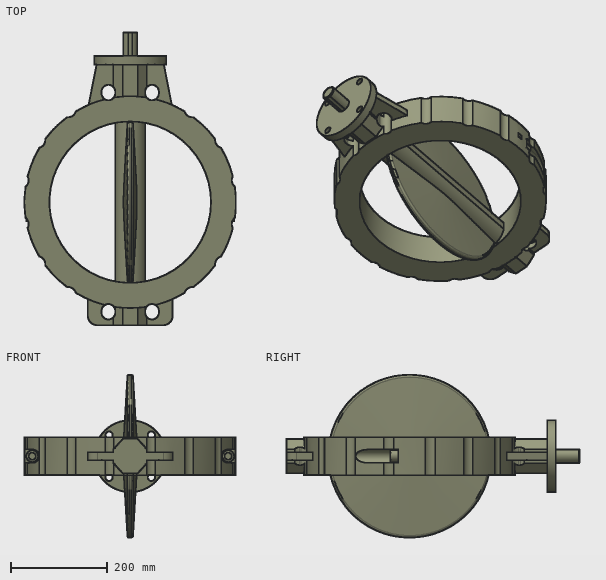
import cadquery as cq
import math


ring_radius = 220.0
bore_radius = 168.0
ring_height = 79.0

bolt_count = 16
bolt_circle_radius = 232.5
notch_radius = 16.5
lug_slot_radius = 14.0
lug_slot_length = 32.0
bolt_pitch = 360 / bolt_count

neck_half_width = 35.0
neck_half_height = 36.0
neck_half_top = 15.0
neck_half_side = 14.5
overall_length = 610
bottom_y = -256.0

flange_radius = 75.0
flange_bottom_y = 286.0
flange_top_y = 304.5
flange_hole_radius = 7.5
flange_hole_circle_radius = 62.0
flange_hole_count = 4
flange_hole_start_angle = 45
stem_top_y = bottom_y + overall_length
stem_diameter = 30.0
stem_flat_spacing = 28.5
stem_chamfer = 2.0

lug_thickness = 16.5
lug_inner_y = 183.0
top_lug_half_width = 70.0
top_lug_root_half_width = 86.5
top_lug_root_y = 202.5
bottom_lug_half_width = 88.5
bottom_lug_corner_radius = 20.0

disc_radius = 169.5
disc_center_half_thickness = 16.0
disc_rim_half_thickness = 6.0
disc_edge_half_thickness = 2.15
disc_face_radius = 165.0
hub_diameter = 65.0
hub_flat_spacing = 63.0

recess_x = 204.0
recess_radius = 14.0
recess_start_y = -24.0
plug_radius = 12.0
plug_length = 16.0
socket_radius = 7.5
socket_depth = 6.0

pad_size = 10.5
pad_outer_x = -221.0
pad_depth = 6.0


def rod(radius, start_y, end_y, x=0.0):
    """Cylinder parallel to Y."""
    return cq.Workplane("XZ", origin=(x, start_y, 0)).circle(radius).extrude(start_y - end_y)


def bolt_position(index):
    angle = math.radians((index + 0.5) * bolt_pitch)
    return bolt_circle_radius * math.cos(angle), bolt_circle_radius * math.sin(angle)


def make_ring():
    return cq.Workplane("XY").circle(ring_radius).extrude(ring_height / 2, both=True)


def make_neck(start_y, end_y):
    corners = [
        (neck_half_width, -neck_half_side),
        (neck_half_width, neck_half_side),
        (neck_half_top, neck_half_height),
        (-neck_half_top, neck_half_height),
        (-neck_half_width, neck_half_side),
        (-neck_half_width, -neck_half_side),
        (-neck_half_top, -neck_half_height),
        (neck_half_top, -neck_half_height),
    ]
    profile = cq.Workplane("XZ", origin=(0, start_y, 0)).polyline(corners).close()
    return profile.extrude(start_y - end_y)


def make_top_lug():
    slope = (top_lug_root_half_width - top_lug_half_width) / (flange_bottom_y - top_lug_root_y)
    inner_half_width = top_lug_half_width + slope * (flange_bottom_y - lug_inner_y)
    corners = [
        (-inner_half_width, lug_inner_y),
        (inner_half_width, lug_inner_y),
        (top_lug_half_width, flange_bottom_y),
        (-top_lug_half_width, flange_bottom_y),
    ]
    return cq.Workplane("XY").polyline(corners).close().extrude(lug_thickness / 2, both=True)


def make_bottom_lug():
    length = -lug_inner_y - bottom_y
    lug = cq.Workplane("XY").box(2 * bottom_lug_half_width, length, lug_thickness)
    lug = lug.edges("|Z and <Y").fillet(bottom_lug_corner_radius)
    return lug.translate((0, bottom_y + length / 2, 0))


def make_flange():
    holes = (
        cq.Workplane("XZ", origin=(0, flange_bottom_y, 0))
        .polarArray(flange_hole_circle_radius, flange_hole_start_angle, 360, flange_hole_count)
        .circle(flange_hole_radius)
        .extrude(flange_bottom_y - flange_top_y)
    )
    return rod(flange_radius, flange_bottom_y, flange_top_y).cut(holes)


def make_stem():
    """Round stem end with a narrow flat on its +Z and -Z sides."""
    stem = rod(stem_diameter / 2, flange_bottom_y, stem_top_y).faces(">Y").chamfer(stem_chamfer)
    flats = cq.Workplane("XY").box(stem_diameter, 2 * stem_top_y, stem_flat_spacing)
    return stem.intersect(flats)


def make_hub():
    """Round hub through the disc, with a narrow flat on each X side."""
    hub = rod(hub_diameter / 2, -lug_inner_y, lug_inner_y)
    flats = cq.Workplane("XY").box(hub_flat_spacing, 2 * lug_inner_y, hub_diameter)
    return hub.intersect(flats)


def make_disc():
    """Double cone with a rounded rim, revolved about the X axis."""
    rim_width = disc_rim_half_thickness - disc_edge_half_thickness
    rim_height = disc_radius - disc_face_radius
    bulge = math.sin(math.radians(45))
    bulge_x = disc_edge_half_thickness + rim_width * bulge
    bulge_radius = disc_face_radius + rim_height * bulge
    profile = (
        cq.Workplane("XY")
        .moveTo(-disc_center_half_thickness, 0)
        .lineTo(-disc_rim_half_thickness, disc_face_radius)
        .threePointArc((-bulge_x, bulge_radius), (-disc_edge_half_thickness, disc_radius))
        .lineTo(disc_edge_half_thickness, disc_radius)
        .threePointArc((bulge_x, bulge_radius), (disc_rim_half_thickness, disc_face_radius))
        .lineTo(disc_center_half_thickness, 0)
        .close()
    )
    return profile.revolve(360, (0, 0, 0), (1, 0, 0))


def cut_bolt_pattern(body):
    """Round notches in the ring; through the lugs, slots stretched along Y."""
    for index in range(bolt_count):
        x, y = bolt_position(index)
        outline = cq.Workplane("XY").center(x, y)
        if abs(x) < bottom_lug_half_width:
            outline = outline.slot2D(lug_slot_length, 2 * lug_slot_radius, 90)
        else:
            outline = outline.circle(notch_radius)
        body = body.cut(outline.extrude(ring_height, both=True))
    return body


def add_screw_recess(body, side):
    """Trough open to the outside, ending in a plug with a shallow round socket."""
    x = side * recess_x
    trough = rod(recess_radius, recess_start_y, -ring_radius, x)
    opening = (
        cq.Workplane("XY")
        .box(recess_radius * 2, ring_radius + recess_start_y, 2 * recess_radius)
        .translate((x + side * recess_radius, (recess_start_y - ring_radius) / 2, 0))
    )
    plug_end_y = recess_start_y - plug_length
    plug = rod(plug_radius, recess_start_y, plug_end_y, x)
    socket = rod(socket_radius, plug_end_y + socket_depth, plug_end_y, x)
    return body.cut(trough).cut(opening).union(plug.cut(socket))


def make_pad():
    pad = cq.Workplane("XY").box(pad_depth, pad_size, pad_size)
    return pad.translate((pad_outer_x + pad_depth / 2, 0, 0))


body = make_ring()
body = body.union(make_neck(bottom_y, -lug_inner_y))
body = body.union(make_neck(lug_inner_y, flange_bottom_y))
body = body.union(make_top_lug()).union(make_bottom_lug())
body = cut_bolt_pattern(body)
for side in (-1, 1):
    body = add_screw_recess(body, side)
body = body.union(make_pad())
body = body.cut(cq.Workplane("XY").circle(bore_radius).extrude(ring_height, both=True))
body = body.union(make_flange()).union(make_stem())

result = body.union(make_hub()).union(make_disc())